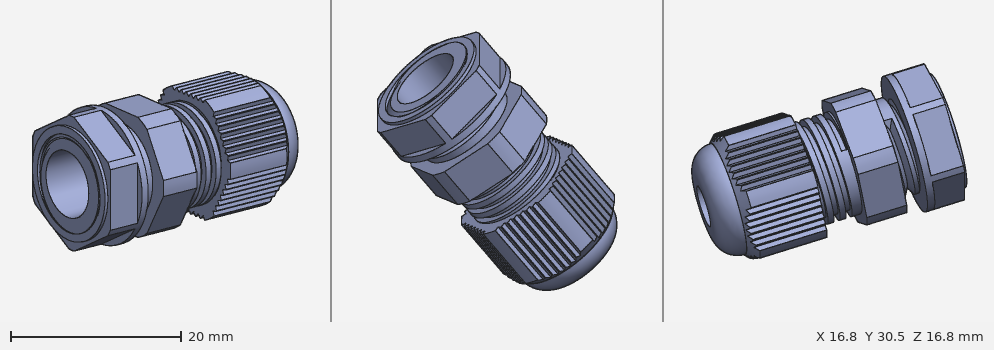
import cadquery as cq
import math


COLLAR_START = 0.18
NUT_HEX_START = 0.6
FLANGE_START = 4.65
NUT_END = 5.55
BODY_HEX_START = 8.02
BODY_HEX_END = 13.0
CAP_START = 17.95
CAP_RECESS_DEPTH = 0.75
CAP_RECESS_END = CAP_START + CAP_RECESS_DEPTH
CAP_CONE_START = 26.3
DOME_START = 27.5
LENGTH = 30.5

HEX_SIDES = 6
HALF_SIDE_ANGLE = 180 / HEX_SIDES

NUT_CORNER_RADIUS = 16.75 / 2
NUT_FLAT_RADIUS = 7.47
COLLAR_RADIUS = 7.0

HEX_CORNER_RADIUS = 8.15
HEX_FLAT_RADIUS = 7.5

ENTRY_RADIUS = 6.0
ENTRY_GROOVE_DEPTH = 1.05
ENTRY_GROOVE_WIDTH = 1.2
ENTRY_PITCH = 1.75
ENTRY_GROOVE_SWEEP_END_ANGLE = -78.0
ENTRY_GROOVE_STOP_ANGLE = -90.0
ENTRY_GROOVE_STOP_SLOPE = 45.0
ENTRY_GROOVE_END_LEVEL = 7.38
ENTRY_GROOVE_TURNS = 5

CAP_THREAD_RADIUS = 6.3
CAP_THREAD_ROOT_RADIUS = 5.5
CAP_THREAD_PITCH = 1.5
CAP_THREAD_GROOVE_WIDTH = CAP_THREAD_PITCH / 2
CAP_GROOVE_START_ANGLE = -101.5
CAP_GROOVE_START_LEVEL = 13.42
CAP_GROOVE_TURNS = 4

CAP_CONE_END_RADIUS = 6.92
DOME_RADIUS = 6.83
KNURL_COUNT = 7
KNURL_PITCH = 0.9
KNURL_WIDTH = 0.8
KNURL_DEPTH = 0.43

BORE_RADIUS = 4.12
BORE_CONE_END_RADIUS = 3.57
BORE_CONE_START = CAP_RECESS_END
CABLE_HOLE_RADIUS = 2.5

OVERSHOOT = 0.3


def cylinder(radius, start, end):
    return cq.Workplane("XY").workplane(offset=start).circle(radius).extrude(end - start)


def rounded_hexagon(flat_radius, corner_radius, start, end, turn):
    """Hexagonal prism with its corners turned down to corner_radius; corners on X when turn is 0."""
    across_corners = 2 * flat_radius / math.cos(math.radians(HALF_SIDE_ANGLE))
    outline = cq.Workplane("XY").workplane(offset=start).polygon(HEX_SIDES, across_corners)
    prism = outline.extrude(end - start)
    prism = prism.rotate((0, 0, 0), (0, 0, 1), turn)
    return prism.intersect(cylinder(corner_radius, start, end))


def helical_cutter(profile, pitch, turns, start_angle, start_level):
    """Sweep a (radius, height) profile up a right-handed helix."""
    spine = cq.Workplane(obj=cq.Wire.makeHelix(pitch, pitch * turns, profile[0][0]))
    cutter = cq.Workplane("XZ").polyline(profile).close().sweep(spine, isFrenet=True)
    return cutter.rotate((0, 0, 0), (0, 0, 1), start_angle).translate((0, 0, start_level))


def entry_thread():
    root_radius = ENTRY_RADIUS - ENTRY_GROOVE_DEPTH
    widening = (ENTRY_GROOVE_DEPTH + OVERSHOOT) / ENTRY_GROOVE_DEPTH
    half_width = ENTRY_GROOVE_WIDTH / 2 * widening
    outer_radius = ENTRY_RADIUS + OVERSHOOT
    profile = [(root_radius, 0), (outer_radius, -half_width), (outer_radius, half_width)]
    start_level = ENTRY_GROOVE_END_LEVEL - ENTRY_PITCH * ENTRY_GROOVE_TURNS
    groove = helical_cutter(
        profile, ENTRY_PITCH, ENTRY_GROOVE_TURNS, ENTRY_GROOVE_SWEEP_END_ANGLE, start_level
    )
    stop_size = 2 * ENTRY_GROOVE_DEPTH
    stop = (
        cq.Workplane("XY")
        .box(2 * stop_size, stop_size, stop_size, centered=(True, False, True))
        .rotate((0, 0, 0), (0, 0, 1), ENTRY_GROOVE_STOP_SLOPE)
        .translate((root_radius, 0, ENTRY_GROOVE_END_LEVEL))
        .rotate((0, 0, 0), (0, 0, 1), ENTRY_GROOVE_STOP_ANGLE)
    )
    return cylinder(ENTRY_RADIUS, 0, BODY_HEX_START).cut(groove.cut(stop))


def lock_nut():
    collar = cylinder(COLLAR_RADIUS, COLLAR_START, NUT_HEX_START)
    hexagon = rounded_hexagon(
        NUT_FLAT_RADIUS, NUT_CORNER_RADIUS, NUT_HEX_START, FLANGE_START, HALF_SIDE_ANGLE
    )
    flange = cylinder(NUT_CORNER_RADIUS, FLANGE_START, NUT_END)
    thread_hole = cylinder(ENTRY_RADIUS, COLLAR_START, NUT_HEX_START)
    return collar.cut(thread_hole).union(hexagon).union(flange)


def cap_thread():
    half_width = CAP_THREAD_GROOVE_WIDTH / 2
    outer_radius = CAP_THREAD_RADIUS + OVERSHOOT
    profile = [
        (CAP_THREAD_ROOT_RADIUS, -half_width),
        (outer_radius, -half_width),
        (outer_radius, half_width),
        (CAP_THREAD_ROOT_RADIUS, half_width),
    ]
    groove = helical_cutter(
        profile, CAP_THREAD_PITCH, CAP_GROOVE_TURNS, CAP_GROOVE_START_ANGLE, CAP_GROOVE_START_LEVEL
    )
    blank_end = CAP_GROOVE_START_LEVEL + CAP_THREAD_PITCH * (CAP_GROOVE_TURNS + 1)
    blank = cylinder(CAP_THREAD_RADIUS, BODY_HEX_END, blank_end)
    trim = cylinder(CAP_THREAD_RADIUS + OVERSHOOT, CAP_RECESS_END, blank_end)
    return blank.cut(groove).cut(trim)


def knurl_grooves():
    """V grooves across one hexagon flat of the cap, the flat facing +Y."""
    outer = HEX_FLAT_RADIUS + OVERSHOOT
    half_width = KNURL_WIDTH / 2 * (KNURL_DEPTH + OVERSHOOT) / KNURL_DEPTH
    length = DOME_START - CAP_START
    first = -KNURL_PITCH * (KNURL_COUNT - 1) / 2
    grooves = cq.Workplane("XY")
    for index in range(KNURL_COUNT):
        centre = first + index * KNURL_PITCH
        outline = [
            (centre, HEX_FLAT_RADIUS - KNURL_DEPTH),
            (centre + half_width, outer),
            (centre - half_width, outer),
        ]
        groove = cq.Workplane("XY").workplane(offset=CAP_START).polyline(outline).close().extrude(length)
        grooves = grooves.union(groove)
    return grooves


def cap():
    grip = rounded_hexagon(HEX_FLAT_RADIUS, HEX_CORNER_RADIUS, CAP_START, DOME_START, 0)
    grooves = knurl_grooves()
    for side in range(HEX_SIDES):
        grip = grip.cut(grooves.rotate((0, 0, 0), (0, 0, 1), 2 * HALF_SIDE_ANGLE * side))
    envelope = (
        cq.Workplane("XZ")
        .moveTo(0, CAP_START)
        .lineTo(HEX_CORNER_RADIUS, CAP_START)
        .lineTo(HEX_CORNER_RADIUS, CAP_CONE_START)
        .lineTo(CAP_CONE_END_RADIUS, DOME_START)
        .lineTo(0, DOME_START)
        .close()
        .revolve(360, (0, 0), (0, 1))
    )
    dome_height = LENGTH - DOME_START
    half_way = math.sqrt(0.5)
    dome = (
        cq.Workplane("XZ")
        .moveTo(0, DOME_START)
        .lineTo(DOME_RADIUS, DOME_START)
        .threePointArc(
            (DOME_RADIUS - dome_height * (1 - half_way), DOME_START + dome_height * half_way),
            (DOME_RADIUS - dome_height, LENGTH),
        )
        .lineTo(0, LENGTH)
        .close()
        .revolve(360, (0, 0), (0, 1))
    )
    recess = cylinder(CAP_THREAD_RADIUS, CAP_START, CAP_RECESS_END)
    return grip.intersect(envelope).cut(recess).union(dome)


def bore():
    cone_end = BORE_CONE_START + BORE_RADIUS - BORE_CONE_END_RADIUS
    outline = [
        (0, 0),
        (BORE_RADIUS, 0),
        (BORE_RADIUS, BORE_CONE_START),
        (BORE_CONE_END_RADIUS, cone_end),
        (CABLE_HOLE_RADIUS, cone_end),
        (CABLE_HOLE_RADIUS, LENGTH),
        (0, LENGTH),
    ]
    return cq.Workplane("XZ").polyline(outline).close().revolve(360, (0, 0), (0, 1))


body_hexagon = rounded_hexagon(HEX_FLAT_RADIUS, HEX_CORNER_RADIUS, BODY_HEX_START, BODY_HEX_END, 0)
gland = entry_thread().union(body_hexagon).union(cap_thread()).union(cap()).union(lock_nut()).cut(bore())

result = gland.rotate((0, 0, 0), (1, 0, 0), -90)